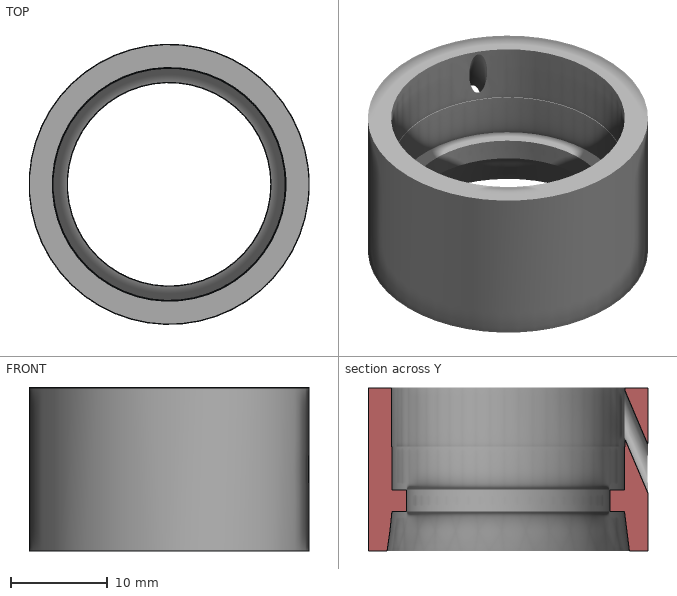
import cadquery as cq

outer_diameter = 29.0
height = 16.9

upper_bore_diameter = 24.2
upper_bore_depth = 6.12
lower_bore_diameter = 24.05
shoulder_depth = 10.55
throat_diameter = 21.05

taper_height = 4.1
taper_top_diameter = lower_bore_diameter
taper_mouth_diameter = 25.05

hole_diameter = 1.9
hole_angle_from_vertical = 23.0
hole_entry_depth = 2.8
hole_reach = 8.7


def make_sleeve():
    """Revolve the wall section about Z."""
    outer_radius = outer_diameter / 2
    upper_radius = upper_bore_diameter / 2
    lower_radius = lower_bore_diameter / 2
    throat_radius = throat_diameter / 2
    ledge_z = height - upper_bore_depth
    shoulder_z = height - shoulder_depth
    section = [
        (taper_mouth_diameter / 2, 0),
        (outer_radius, 0),
        (outer_radius, height),
        (upper_radius, height),
        (upper_radius, ledge_z),
        (lower_radius, ledge_z),
        (lower_radius, shoulder_z),
        (throat_radius, shoulder_z),
        (throat_radius, taper_height),
        (taper_top_diameter / 2, taper_height),
    ]
    return cq.Workplane("XZ").polyline(section).close().revolve(360, (0, 0), (0, 1))


def make_sloping_hole():
    """Cylinder centred on the upper bore wall, reaching past both wall faces."""
    return (
        cq.Workplane("XY")
        .circle(hole_diameter / 2)
        .extrude(hole_reach, both=True)
        .rotate((0, 0, 0), (0, 1, 0), -hole_angle_from_vertical)
        .translate((upper_bore_diameter / 2, 0, height - hole_entry_depth))
    )


result = make_sleeve().cut(make_sloping_hole())